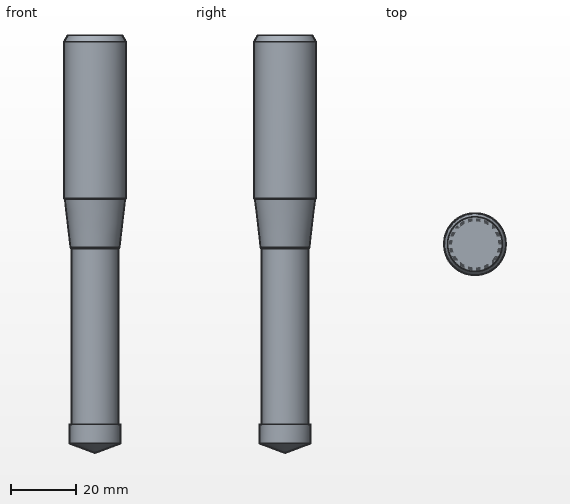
import cadquery as cq

total_length = 127.8
shank_diameter = 19.0
shank_chamfer_height = 2.0
shank_chamfer_width = 1.2
shank_length = 49.8
step_height = 0.4
taper_length = 14.7
taper_top_diameter = 18.5
taper_bottom_diameter = 15.1
neck_diameter = 14.5
head_diameter = 15.7
head_length = 5.9
point_height = 3.0

head_top = point_height + head_length
shank_bottom = total_length - shank_length
taper_top = shank_bottom - step_height
taper_bottom = taper_top - taper_length
neck_top = taper_bottom - step_height
chamfer_bottom = total_length - shank_chamfer_height

shank_radius = shank_diameter / 2
shank_end_radius = shank_radius - shank_chamfer_width
taper_top_radius = taper_top_diameter / 2
taper_bottom_radius = taper_bottom_diameter / 2
neck_radius = neck_diameter / 2
head_radius = head_diameter / 2


def revolve_profile(points):
    """Turn a closed half profile of (radius, height) points about the Z axis."""
    profile = cq.Workplane("XZ").polyline(points).close()
    return profile.revolve(360, (0, 0, 0), (0, 1, 0))


def make_holder():
    """Chamfered shank, tapered shoulder with a small slanted step at each end, and slim neck."""
    return revolve_profile([
        (0, head_top),
        (neck_radius, head_top),
        (neck_radius, neck_top),
        (taper_bottom_radius, taper_bottom),
        (taper_top_radius, taper_top),
        (shank_radius, shank_bottom),
        (shank_radius, chamfer_bottom),
        (shank_end_radius, total_length),
        (0, total_length),
    ])


def make_cutting_head():
    """Cylindrical head with a shallow conical point, seated on the flat end of the neck."""
    return revolve_profile([
        (0, 0),
        (head_radius, point_height),
        (head_radius, head_top),
        (0, head_top),
    ])


holder = make_holder()
cutting_head = make_cutting_head()

result = cq.Compound.makeCompound([holder.val(), cutting_head.val()])